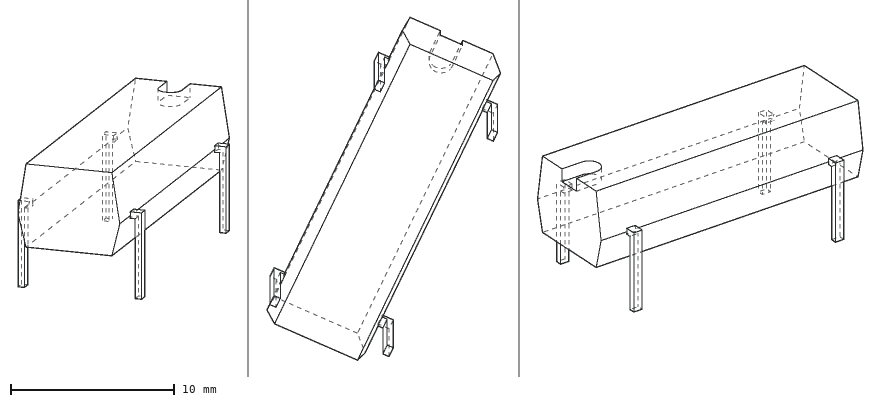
import cadquery as cq

body_length = 19.8
body_width = 6.61
face_width = 5.58
body_height = 5.3
parting_depth = 3.2

notch_width = 1.5
notch_length = 2.25
notch_depth = 0.9

lead_span = 8.02
lead_pitch = 15.25
lead_breadth = 0.63
lead_thickness = 0.42
lead_top_depth = 2.99
overall_height = 8.5
lead_embed = 0.4

top_z = overall_height
lead_top_z = top_z - lead_top_depth


def make_body():
    bottom_z = top_z - body_height
    parting_z = top_z - parting_depth
    half_face = face_width / 2
    half_body = body_width / 2
    section = [
        (-half_face, bottom_z),
        (half_face, bottom_z),
        (half_body, parting_z),
        (half_face, top_z),
        (-half_face, top_z),
        (-half_body, parting_z),
    ]
    return cq.Workplane("XZ").polyline(section).close().extrude(body_length / 2, both=True)


def make_notch():
    radius = notch_width / 2
    end_y = body_length / 2
    straight_y = end_y - notch_length + radius
    return (
        cq.Workplane("XY", origin=(0, 0, top_z - notch_depth))
        .moveTo(-radius, end_y)
        .lineTo(-radius, straight_y)
        .threePointArc((0, straight_y - radius), (radius, straight_y))
        .lineTo(radius, end_y)
        .close()
        .extrude(notch_depth)
    )


def make_lead(side, center_y):
    """L-shaped lead; side is -1 for -X and 1 for +X."""
    outer_x = side * lead_span / 2
    leg_x = outer_x - side * lead_thickness
    inner_x = side * (body_width / 2 - lead_embed)
    shoulder_z = lead_top_z - lead_thickness
    profile = [
        (outer_x, 0),
        (outer_x, lead_top_z),
        (inner_x, lead_top_z),
        (inner_x, shoulder_z),
        (leg_x, shoulder_z),
        (leg_x, 0),
    ]
    return (
        cq.Workplane("XZ", origin=(0, center_y, 0))
        .polyline(profile)
        .close()
        .extrude(lead_breadth / 2, both=True)
    )


result = make_body().cut(make_notch())
for side in (-1, 1):
    for center_y in (-lead_pitch / 2, lead_pitch / 2):
        result = result.union(make_lead(side, center_y))